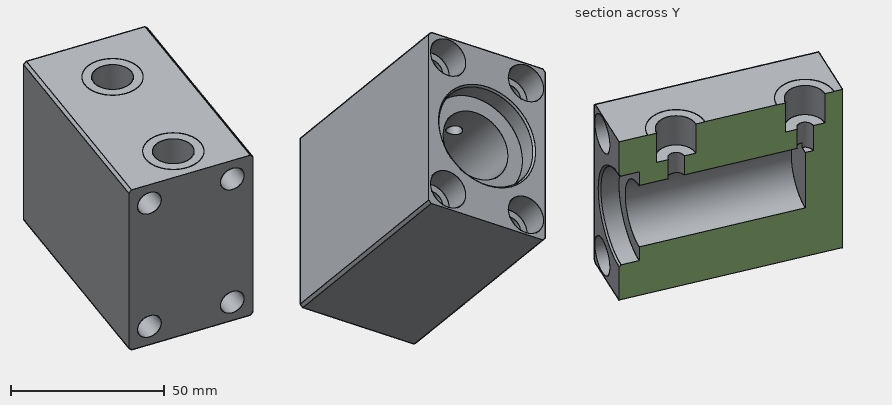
import cadquery as cq

LENGTH = 78.0
WIDTH = 45.0
HEIGHT = 65.0
EDGE_CHAMFER = 1.0

BORE_DIAMETER = 24.95
BORE_DEPTH = 65.0
SEAT_DIAMETER = 36.2
SEAT_DEPTH = 7.0
LEAD_IN_DIAMETER = 37.45
LEAD_IN_DEPTH = 0.7

BOLT_DIAMETER = 8.6
BOLT_HEAD_DIAMETER = 13.6
BOLT_HEAD_DEPTH = 10.0
BOLT_SPACING_Y = 30.0
BOLT_SPACING_Z = 50.0

PORT_DIAMETER = 13.6
PORT_DEPTH = 12.0
PORT_FACE_DIAMETER = 20.0
PORT_FACE_DEPTH = 0.1
PASSAGE_DIAMETER = 5.45
PASSAGE_OVERLAP = 2.3
FIRST_PORT_FROM_END = 20.0

left_end = -LENGTH / 2
top = HEIGHT / 2
bore_radius = BORE_DIAMETER / 2


def hole_from_end(diameter, depth, y=0, z=0):
    """Cylinder running in +X from the left end."""
    return cq.Workplane("YZ", origin=(left_end, y, z)).circle(diameter / 2).extrude(depth)


def hole_from_top(diameter, depth, x):
    """Cylinder running down from the top face."""
    return cq.Workplane("XY", origin=(x, 0, top)).circle(diameter / 2).extrude(-depth)


def stepped_bore():
    lead_in = (
        cq.Workplane("YZ", origin=(left_end, 0, 0))
        .circle(LEAD_IN_DIAMETER / 2)
        .workplane(offset=LEAD_IN_DEPTH)
        .circle(SEAT_DIAMETER / 2)
        .loft(ruled=True)
    )
    seat = hole_from_end(SEAT_DIAMETER, SEAT_DEPTH)
    return hole_from_end(BORE_DIAMETER, BORE_DEPTH).union(seat).union(lead_in)


def mounting_hole(y, z):
    head = hole_from_end(BOLT_HEAD_DIAMETER, BOLT_HEAD_DEPTH, y, z)
    return hole_from_end(BOLT_DIAMETER, LENGTH, y, z).union(head)


def port(x):
    passage_depth = top - bore_radius + PASSAGE_OVERLAP
    passage = hole_from_top(PASSAGE_DIAMETER, passage_depth, x)
    thread = hole_from_top(PORT_DIAMETER, PORT_DEPTH, x)
    sealing_face = hole_from_top(PORT_FACE_DIAMETER, PORT_FACE_DEPTH, x)
    return passage.union(thread).union(sealing_face)


result = cq.Workplane("XY").box(LENGTH, WIDTH, HEIGHT).edges("|X").chamfer(EDGE_CHAMFER)
result = result.cut(stepped_bore())

for side_y in (-1, 1):
    for side_z in (-1, 1):
        result = result.cut(mounting_hole(side_y * BOLT_SPACING_Y / 2, side_z * BOLT_SPACING_Z / 2))

for from_end in (FIRST_PORT_FROM_END, BORE_DEPTH):
    result = result.cut(port(left_end + from_end))